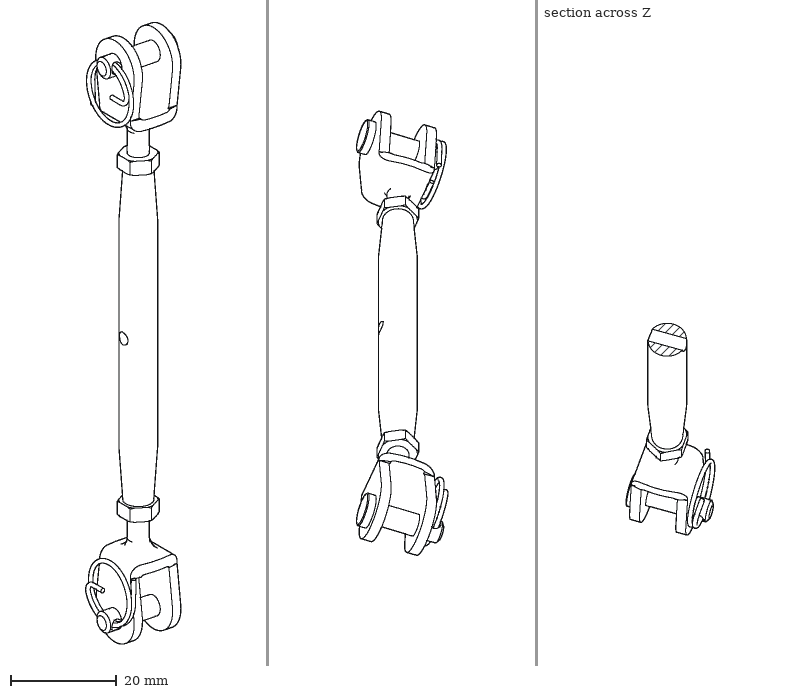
import cadquery as cq
import math


SLEEVE_RADIUS = 3.7
SLEEVE_END_RADIUS = 2.95
SLEEVE_HALF_LENGTH = 35.3
TAPER_START_Z = 24.0
INSPECTION_HOLE_DIAMETER = 2.6

NUT_ACROSS_FLATS = 7.0
NUT_THICKNESS = 3.0
NUT_CHAMFER = 0.17
NUT_CORNER_RADIUS = NUT_ACROSS_FLATS / 2 / math.cos(math.pi / 6)

HALF_LENGTH = 63.8
ROD_RADIUS = 2.1
ROD_INNER_Z = TAPER_START_Z
NECK_Z = 43.4
NECK_HEIGHT = 2.6
NECK_MIDDLE_HEIGHT = 1.6
NECK_MIDDLE_RADIUS = 2.7
BRIDGE_BOTTOM_Z = NECK_Z + NECK_HEIGHT
BRIDGE_TOP_Z = 48.2
FORK_HALF_DEPTH = 5.6
EAR_THICKNESS = 2.0
EAR_RADIUS = 6.0
EAR_CENTER_Z = HALF_LENGTH - EAR_RADIUS
EAR_BASE_Z = 48.6
BRIDGE_MID_HALF_WIDTH = 5.6
BRIDGE_END_HALF_WIDTH = 4.8
BRIDGE_OUTER_FILLET = 2.2
FORK_INNER_FILLET = 1.0
GAP_HALF_DEPTH = FORK_HALF_DEPTH - EAR_THICKNESS

PIN_Z = 58.8
PIN_RADIUS = 2.15
PIN_HEAD_RADIUS = 3.25
PIN_HEAD_THICKNESS = 1.65
PIN_HEAD_CHAMFER = 0.2
PIN_LENGTH = 16.0
PIN_TIP_CHAMFER_LENGTH = 0.5
PIN_TIP_RADIUS = 1.45
PIN_HEAD_Y = FORK_HALF_DEPTH + PIN_HEAD_THICKNESS

WIRE_RADIUS = 0.45
RING_OUTER_RADIUS = 6.75
RING_RADIUS = RING_OUTER_RADIUS - WIRE_RADIUS
RING_Z = 53.0
RING_PITCH = 0.92
RING_CLEARANCE = 0.02
RING_BACK_Y = -FORK_HALF_DEPTH - WIRE_RADIUS - RING_CLEARANCE
TAIL_LENGTH = 5.1
TANG_Z = 52.9
TANG_INNER_X = 1.4
TANG_OUTER_X = 4.4
RING_HOLE_RADIUS = 1.2
RING_HOLE_Z = 59.05
TURNS_TO_HOLE_MIDDLE = 0.75
RING_HOLE_Y = RING_BACK_Y - TURNS_TO_HOLE_MIDDLE * RING_PITCH


def make_sleeve():
    """Round body with tapered ends, blind rod holes and a cross hole."""
    sleeve = (
        cq.Workplane("XZ")
        .moveTo(0, -SLEEVE_HALF_LENGTH)
        .lineTo(SLEEVE_END_RADIUS, -SLEEVE_HALF_LENGTH)
        .lineTo(SLEEVE_RADIUS, -TAPER_START_Z)
        .lineTo(SLEEVE_RADIUS, TAPER_START_Z)
        .lineTo(SLEEVE_END_RADIUS, SLEEVE_HALF_LENGTH)
        .lineTo(0, SLEEVE_HALF_LENGTH)
        .close()
        .revolve(360, (0, 0, 0), (0, 1, 0))
    )
    rod_depth = SLEEVE_HALF_LENGTH - ROD_INNER_Z
    for start_z in (ROD_INNER_Z, -SLEEVE_HALF_LENGTH):
        sleeve = sleeve.cut(cq.Workplane("XY", origin=(0, 0, start_z)).circle(ROD_RADIUS).extrude(rod_depth))
    cross_hole = cq.Workplane("XZ").circle(INSPECTION_HOLE_DIAMETER / 2).extrude(SLEEVE_RADIUS, both=True)
    return sleeve.cut(cross_hole)


def make_nut():
    """Hexagon lock nut with corners on X, chamfered at both faces."""
    blank = (
        cq.Workplane("XY", origin=(0, 0, SLEEVE_HALF_LENGTH))
        .polygon(6, 2 * NUT_CORNER_RADIUS)
        .extrude(NUT_THICKNESS)
    )
    chamfered_disc = (
        cq.Workplane("XY", origin=(0, 0, SLEEVE_HALF_LENGTH))
        .circle(NUT_CORNER_RADIUS)
        .extrude(NUT_THICKNESS)
        .edges()
        .chamfer(NUT_CHAMFER, 2 * NUT_CHAMFER)
    )
    bore = cq.Workplane("XY", origin=(0, 0, SLEEVE_HALF_LENGTH)).circle(ROD_RADIUS).extrude(NUT_THICKNESS)
    return blank.intersect(chamfered_disc).cut(bore)


def quartered_circle(radius, z):
    """Level circle in four arcs that meet at the diagonals, so that a rectangle's corners match them."""
    diagonal = radius * math.sqrt(0.5)
    return (
        cq.Workplane("XY", origin=(0, 0, z))
        .moveTo(-diagonal, -diagonal)
        .threePointArc((0, -radius), (diagonal, -diagonal))
        .threePointArc((radius, 0), (diagonal, diagonal))
        .threePointArc((0, radius), (-diagonal, diagonal))
        .threePointArc((-radius, 0), (-diagonal, -diagonal))
        .wire()
        .val()
    )


def ear_outline():
    """Block with the ear outline: round top and straight sides running tangent to the bridge ends."""
    drop = EAR_CENTER_Z - EAR_BASE_Z
    side_angle = math.acos(EAR_RADIUS / math.hypot(BRIDGE_END_HALF_WIDTH, drop))
    tangent_angle = side_angle - math.atan2(drop, BRIDGE_END_HALF_WIDTH)
    tangent_x = EAR_RADIUS * math.cos(tangent_angle)
    tangent_z = EAR_CENTER_Z + EAR_RADIUS * math.sin(tangent_angle)
    return (
        cq.Workplane("XZ", origin=(0, FORK_HALF_DEPTH, 0))
        .moveTo(-BRIDGE_END_HALF_WIDTH, EAR_BASE_Z)
        .lineTo(-tangent_x, tangent_z)
        .threePointArc((0, HALF_LENGTH), (tangent_x, tangent_z))
        .lineTo(BRIDGE_END_HALF_WIDTH, EAR_BASE_Z)
        .close()
        .extrude(2 * FORK_HALF_DEPTH)
    )


def bridge_outline():
    """Block with the bridge outline seen along Z: sides bowed outwards."""
    return (
        cq.Workplane("XY", origin=(0, 0, BRIDGE_BOTTOM_Z))
        .moveTo(-BRIDGE_END_HALF_WIDTH, -FORK_HALF_DEPTH)
        .lineTo(BRIDGE_END_HALF_WIDTH, -FORK_HALF_DEPTH)
        .threePointArc((BRIDGE_MID_HALF_WIDTH, 0), (BRIDGE_END_HALF_WIDTH, FORK_HALF_DEPTH))
        .lineTo(-BRIDGE_END_HALF_WIDTH, FORK_HALF_DEPTH)
        .threePointArc((-BRIDGE_MID_HALF_WIDTH, 0), (-BRIDGE_END_HALF_WIDTH, -FORK_HALF_DEPTH))
        .close()
        .extrude(EAR_BASE_Z - BRIDGE_BOTTOM_Z)
    )


def make_neck():
    """Flare from the round rod to the flat underside of the bridge."""
    foot = cq.Workplane("XY", origin=(0, 0, BRIDGE_BOTTOM_Z)).rect(
        2 * BRIDGE_END_HALF_WIDTH,
        2 * (FORK_HALF_DEPTH - BRIDGE_OUTER_FILLET),
    )
    return cq.Solid.makeLoft([
        quartered_circle(ROD_RADIUS, NECK_Z),
        quartered_circle(NECK_MIDDLE_RADIUS, NECK_Z + NECK_MIDDLE_HEIGHT),
        foot.wire().val(),
    ])


def make_fork():
    """Fork with rounded ears, a bridge with bowed sides, a flared neck and a rod."""
    height = HALF_LENGTH - BRIDGE_BOTTOM_Z
    fork = (
        cq.Workplane("XY", origin=(0, 0, BRIDGE_BOTTOM_Z))
        .rect(2 * EAR_RADIUS, 2 * FORK_HALF_DEPTH)
        .extrude(height)
        .edges("<Z and |X")
        .fillet(BRIDGE_OUTER_FILLET)
    )
    gap = (
        cq.Workplane("XY", origin=(0, 0, BRIDGE_TOP_Z))
        .rect(2 * EAR_RADIUS, 2 * GAP_HALF_DEPTH)
        .extrude(height)
        .edges("<Z and |X")
        .fillet(FORK_INNER_FILLET)
    )
    fork = fork.intersect(ear_outline().union(bridge_outline())).cut(gap)

    rod = cq.Workplane("XY", origin=(0, 0, ROD_INNER_Z)).circle(ROD_RADIUS).extrude(NECK_Z - ROD_INNER_Z)
    pin_hole = cq.Workplane("XZ", origin=(0, 0, PIN_Z)).circle(PIN_RADIUS).extrude(FORK_HALF_DEPTH, both=True)
    return fork.union(make_neck()).union(rod).cut(pin_hole)


def make_pin():
    """Headed clevis pin along Y with a cross hole for the split ring."""
    pin = (
        cq.Workplane("XZ", origin=(0, PIN_HEAD_Y, PIN_Z))
        .circle(PIN_RADIUS)
        .extrude(PIN_LENGTH)
        .faces("<Y")
        .edges()
        .chamfer(PIN_TIP_CHAMFER_LENGTH, PIN_RADIUS - PIN_TIP_RADIUS)
    )
    head = (
        cq.Workplane("XZ", origin=(0, PIN_HEAD_Y, PIN_Z))
        .circle(PIN_HEAD_RADIUS)
        .extrude(PIN_HEAD_THICKNESS)
        .faces(">Y")
        .chamfer(PIN_HEAD_CHAMFER)
    )
    ring_hole = (
        cq.Workplane("YZ", origin=(0, RING_HOLE_Y, RING_HOLE_Z))
        .circle(RING_HOLE_RADIUS)
        .extrude(PIN_RADIUS, both=True)
    )
    return pin.union(head).cut(ring_hole)


def make_ring():
    """Coiled wire ring: straight tail, one and a half turns, then an inward curl and tang."""
    drop = RING_Z - TANG_Z
    curl_radius = (RING_RADIUS**2 - TANG_OUTER_X**2 - drop**2) / (2 * (RING_RADIUS - drop))
    curl_angle = math.atan2(curl_radius - drop, TANG_OUTER_X)
    turns = (3 * math.pi - curl_angle) / (2 * math.pi)
    slope = RING_PITCH / (2 * math.pi * RING_RADIUS)
    front_y = RING_BACK_Y - RING_PITCH * turns

    coil = cq.Wire.makeHelix(RING_PITCH, RING_PITCH * turns, RING_RADIUS, lefthand=True)
    coil = coil.rotate(cq.Vector(0, 0, 0), cq.Vector(1, 0, 0), 90)
    coil = coil.rotate(cq.Vector(0, 0, 0), cq.Vector(0, 1, 0), 180)
    coil = coil.translate(cq.Vector(0, RING_BACK_Y, RING_Z))

    tail_start = cq.Vector(-RING_RADIUS, RING_BACK_Y + slope * TAIL_LENGTH, RING_Z - TAIL_LENGTH)
    tail = cq.Edge.makeLine(tail_start, cq.Vector(-RING_RADIUS, RING_BACK_Y, RING_Z))

    joint = cq.Vector(RING_RADIUS * math.cos(curl_angle), front_y, RING_Z + RING_RADIUS * math.sin(curl_angle))
    middle_angle = (curl_angle - math.pi / 2) / 2
    curl_middle = cq.Vector(
        TANG_OUTER_X + curl_radius * math.cos(middle_angle),
        front_y,
        TANG_Z + curl_radius + curl_radius * math.sin(middle_angle),
    )
    curl_end = cq.Vector(TANG_OUTER_X, front_y, TANG_Z)
    tang_end = cq.Vector(TANG_INNER_X, front_y, TANG_Z)
    hook = [cq.Edge.makeThreePointArc(joint, curl_middle, curl_end), cq.Edge.makeLine(curl_end, tang_end)]
    ring_axis = cq.Vector(0, front_y, RING_Z)
    lean = math.degrees(math.atan(slope))
    hook = [edge.rotate(ring_axis, joint, -lean) for edge in hook]
    path = cq.Wire.assembleEdges([tail, *coil.Edges(), *hook])
    return (
        cq.Workplane(cq.Plane(tail_start, (1, 0, 0), (0, -slope, 1)))
        .circle(WIRE_RADIUS)
        .sweep(path)
    )


sleeve = make_sleeve()
upper_end = [make_nut(), make_fork(), make_pin(), make_ring()]

bodies = [sleeve.solids().val()]
for turn in (0, 180):
    for body in upper_end:
        bodies.append(body.rotate((0, 0, 0), (0, 1, 0), turn).solids().val())

result = cq.Compound.makeCompound(bodies)